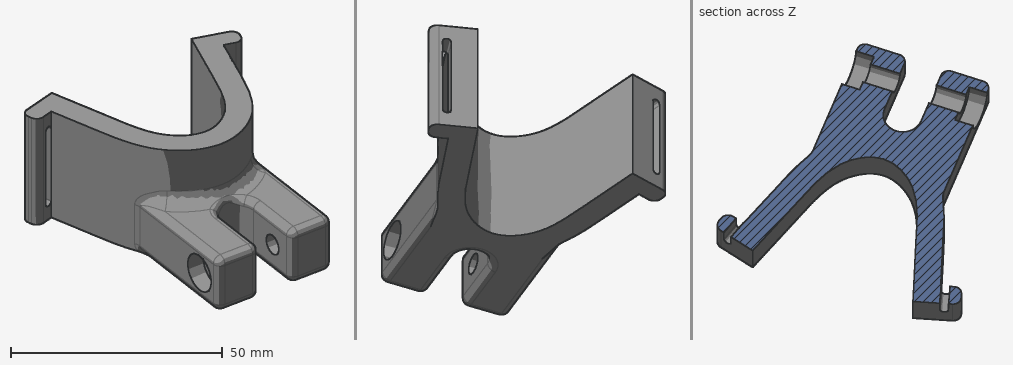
import cadquery as cq
import math

length = 63.0
height = 30.0
mouth_half_width = 20.15

band_thickness = 6.5
band_inner_apex_x = 34.5
arm_straight_end_x = 22.7
bend_x = 29.7
bend_y = 8.95
bend_normal_angle = math.radians(41.0)
arm_angle = math.radians(18.0)

hook_angle = math.radians(16.0)
hook_length = 11.4
hook_thickness = 5.0
hook_round = 2.0
strap_slot_width = 2.0
strap_slot_length = 22.35
strap_slot_position = 7.4

fork_width = 33.05
fork_height = 15.0
fork_gap = 9.1
fork_gap_apex_x = 42.95
edge_round = 2.0
seam_round = 3.5
skirt = 2 * seam_round

bolt_x = 55.4
bolt_z = fork_height / 2
bolt_diameter = 5.1
counterbore_diameter = 9.6
counterbore_depth = 4.5

fork_root_x = arm_straight_end_x


def face_points(offset):
    """Points from the +Y arm tip to the apex, at a distance outside the inner face."""
    points = []
    for x in (0, arm_straight_end_x / 2, arm_straight_end_x):
        y = mouth_half_width - x * math.tan(arm_angle)
        points.append((x + offset * math.sin(arm_angle), y + offset * math.cos(arm_angle)))
    points.append((
        bend_x + offset * math.sin(bend_normal_angle),
        bend_y + offset * math.cos(bend_normal_angle),
    ))
    points.append((band_inner_apex_x + offset, 0))
    return points


def mirror_points(points):
    """The points reflected across the XZ plane, in reverse order."""
    return [(x, -y) for x, y in reversed(points)]


def face_curve(points):
    """Complete smooth curve from the +Y arm to the -Y arm."""
    return points + mirror_points(points[:-1])


def hook_point(across, along):
    """Point on the +Y hook, measured from the mouth corner."""
    return (
        across * math.cos(hook_angle) + along * math.sin(hook_angle),
        mouth_half_width - across * math.sin(hook_angle) + along * math.cos(hook_angle),
    )


def arm_outer_end():
    """Point where the outer arm face meets the back face of the +Y hook."""
    outer_x, outer_y = face_points(band_thickness)[0]
    start_x, start_y = hook_point(hook_thickness, 0)
    rise = outer_y + (outer_x - start_x) * math.tan(arm_angle) - start_y
    along = rise / (math.cos(hook_angle) + math.sin(hook_angle) * math.tan(arm_angle))
    return hook_point(hook_thickness, along)


def make_strap_slot():
    along_hook = (math.sin(hook_angle), math.cos(hook_angle), 0)
    across_hook = (math.cos(hook_angle), -math.sin(hook_angle), 0)
    center = (*hook_point(hook_thickness / 2, strap_slot_position), height / 2)
    return (
        cq.Workplane(cq.Plane(center, along_hook, across_hook))
        .slot2D(strap_slot_length, strap_slot_width, 90)
        .extrude(hook_thickness, both=True)
    )


def make_band():
    """Band, arms and slotted hooks, standing on the skirt."""
    hook_corners = [hook_point(0, hook_length), hook_point(hook_thickness, hook_length)]
    outer_points = [arm_outer_end()] + face_points(band_thickness)[1:]
    arm_tangents = [
        (math.cos(arm_angle), -math.sin(arm_angle)),
        (-math.cos(arm_angle), -math.sin(arm_angle)),
    ]
    inner_edge = [cq.Vector(*point) for point in face_curve(face_points(0))]
    outer_edge = [cq.Vector(*point) for point in face_curve(outer_points)]
    tangents = [cq.Vector(*direction) for direction in arm_tangents]
    hook_outline = [hook_point(0, 0)] + hook_corners + [arm_outer_end()]
    outline = cq.Wire.assembleEdges([
        cq.Edge.makeSpline(inner_edge, tangents=tangents),
        *cq.Wire.makePolygon([cq.Vector(*p) for p in mirror_points(hook_outline[::-1])]).Edges(),
        cq.Edge.makeSpline(outer_edge, tangents=tangents),
        *cq.Wire.makePolygon([cq.Vector(*p) for p in hook_outline]).Edges(),
    ])
    band = cq.Workplane("XY").add(outline).toPending().extrude(height + skirt)
    band = band.translate((0, 0, -skirt))
    for x, y in hook_corners + mirror_points(hook_corners):
        corner = cq.NearestToPointSelector((x, y, height / 2 - skirt / 2))
        band = band.edges("|Z").edges(corner).fillet(hook_round)
    slot = make_strap_slot()
    return band.cut(slot).cut(slot.mirror("XZ"))


def make_fork_blank():
    """Solid lug with rounded outer edges, kept clear of the mouth."""
    blank = (
        cq.Workplane("XY")
        .box(length - fork_root_x, fork_width, fork_height, centered=(False, True, False))
        .translate((fork_root_x, 0, 0))
        .edges("|X or >X")
        .fillet(edge_round)
    )
    mouth_curve = face_curve(face_points(band_thickness / 2))
    mouth = cq.Workplane("XY").polyline(mouth_curve).close().extrude(height)
    return blank.cut(mouth)


def blend_fork_seam(body):
    """Round the seam between the lug and the outer wall of the band."""
    seam = cq.selectors.BoxSelector(
        (fork_root_x, -fork_width / 2 - 0.6, -0.6),
        (fork_gap_apex_x, fork_width / 2 + 0.6, fork_height + 0.6),
        boundingbox=True,
    )
    return body.edges(seam).fillet(seam_round)


def trim_skirt(body):
    """Cut away everything below the base."""
    below = cq.Workplane("XY").rect(3 * length, 3 * length).extrude(-2 * skirt)
    return body.cut(below)


def cut_fork_gap(body):
    """Cut the round-ended gap and round the rims of its walls."""
    gap_center_x = fork_gap_apex_x + fork_gap / 2
    gap = (
        cq.Workplane("XY")
        .moveTo(length, fork_gap / 2)
        .lineTo(gap_center_x, fork_gap / 2)
        .threePointArc((fork_gap_apex_x, 0), (gap_center_x, -fork_gap / 2))
        .lineTo(length, -fork_gap / 2)
        .close()
        .extrude(height)
    )
    body = body.cut(gap)
    lower_arc = cq.NearestToPointSelector((fork_gap_apex_x, 0, 0))
    return body.edges(lower_arc).fillet(edge_round)


def drill_bolt_hole(body):
    """Cross hole through both prongs, counterbored on their outer sides."""
    axis = cq.Workplane("XZ").center(bolt_x, bolt_z)
    hole = axis.circle(bolt_diameter / 2).extrude(fork_width, both=True)
    counterbore = (
        axis.workplane(offset=fork_width / 2 - counterbore_depth)
        .circle(counterbore_diameter / 2)
        .extrude(counterbore_depth)
    )
    return body.cut(hole).cut(counterbore).cut(counterbore.mirror("XZ"))


body = trim_skirt(blend_fork_seam(make_band().union(make_fork_blank())))
result = drill_bolt_hole(cut_fork_gap(body))